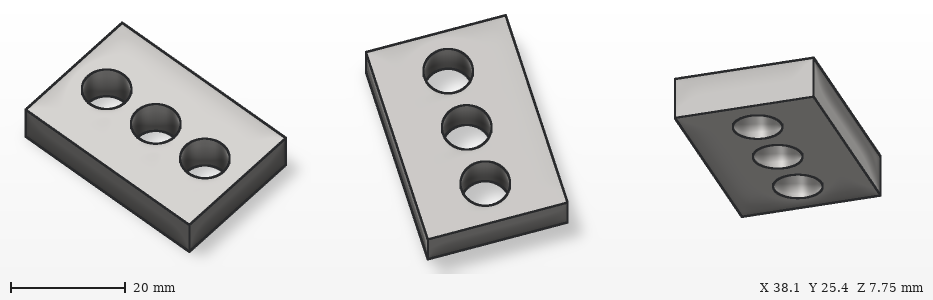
import cadquery as cq

length = 38.1
width = 25.4
height = 7.75

hole_diameter = 8.65
hole_pitch = 11.43
hole_count = 3

block = cq.Workplane("XY").box(length, width, height)

result = (
    block.faces(">Z")
    .workplane()
    .rarray(hole_pitch, 0.4, hole_count, 1)
    .hole(hole_diameter)
)